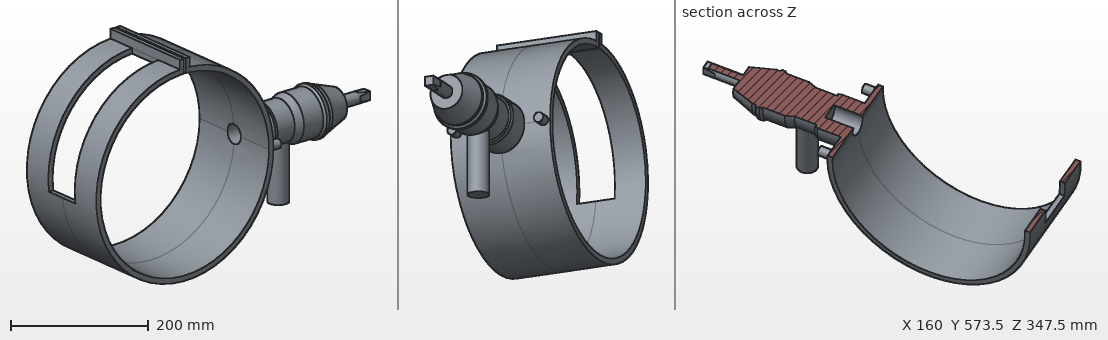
import cadquery as cq

band_radius = 166.5
band_thickness = 8.5
band_width = 160.0
band_inner_radius = band_radius - band_thickness

lug_top = 181.0
lug_span = 18.5
split_gap = 3.5

window_width = 61.0
window_bottom = -19.5

collar_radius = 39.0
collar_chamfer_radius = 37.0
neck_radius = 34.0
rib_radius = 42.5
nose_radius = 26.0
neck_start = 209.0
collar_end = 203.5
neck_end = 243.5
body_start = 257.0
rib_foot_start = 293.0
rib_crest_start = 297.0
rib_crest_end = 302.0
rib_foot_end = 305.5
nose_start = 311.0
nose_end = 348.5

shank_radius = 10.0
square_start = 387.0
square_root_side = 17.0
square_tip_side = 14.0
tip_end = 573.5 - band_radius

handle_diameter = 32.0
handle_position = 240.0
handle_bottom = -125.5
pin_diameter = 15.0
pin_spacing = 139.5
pin_end = 183.5
hole_diameter = 31.0
hole_end = collar_end


def rod_along_y(diameter, start, end, x=0):
    """Round rod parallel to Y between two Y positions."""
    plane = cq.Plane(origin=(x, start, 0), xDir=(1, 0, 0), normal=(0, 1, 0))
    return cq.Workplane(plane).circle(diameter / 2).extrude(end - start)


def box_between(x_size, y_start, y_end, z_start, z_end):
    """Box centred in X between given Y and Z positions."""
    return (
        cq.Workplane("XY")
        .box(x_size, y_end - y_start, z_end - z_start, centered=(True, False, False))
        .translate((0, y_start, z_start))
    )


def band_cylinder(radius):
    """Solid cylinder along X, as long as the band is wide."""
    return cq.Workplane("YZ").circle(radius).extrude(band_width / 2, both=True)


def make_drill():
    """Turned drill body, shank, square tip and side handle."""
    root = band_inner_radius
    body = (
        cq.Workplane("XY")
        .polyline([
            (0, root),
            (collar_radius, root),
            (collar_radius, collar_end),
            (collar_chamfer_radius, neck_start),
            (neck_radius, neck_start),
            (neck_radius, neck_end),
            (collar_radius, body_start),
            (collar_radius, rib_foot_start),
            (rib_radius, rib_crest_start),
            (rib_radius, rib_crest_end),
            (collar_radius, rib_foot_end),
            (collar_radius, nose_start),
            (nose_radius, nose_end),
            (0, nose_end),
        ])
        .close()
        .revolve(360, (0, 0, 0), (0, 1, 0))
    )
    square = (
        cq.Workplane(cq.Plane(origin=(0, square_start, 0), xDir=(1, 0, 0), normal=(0, 1, 0)))
        .rect(square_root_side, square_root_side)
        .workplane(offset=tip_end - square_start)
        .rect(square_tip_side, square_tip_side)
        .loft(ruled=True)
    )
    round_part = rod_along_y(2 * shank_radius, nose_end, square_start)
    tip = rod_along_y(2 * shank_radius, square_start, tip_end).intersect(square)
    handle = (
        cq.Workplane("XY")
        .center(0, handle_position)
        .circle(handle_diameter / 2)
        .extrude(handle_bottom)
    )
    return body.union(round_part).union(tip).union(handle)


bore = band_cylinder(band_inner_radius)
half_lugs = lug_span / 2
lugs = box_between(band_width, -half_lugs, half_lugs, 0, lug_top)
split = box_between(band_width, -split_gap / 2, split_gap / 2, 0, lug_top)
window = box_between(window_width, -band_radius, -half_lugs, window_bottom, band_radius)

result = band_cylinder(band_radius).union(lugs).union(make_drill())
for side in (-1, 1):
    pin = rod_along_y(pin_diameter, band_inner_radius, pin_end, side * pin_spacing / 2)
    result = result.union(pin)

hole = rod_along_y(hole_diameter, 0, hole_end)
result = result.cut(bore).cut(split).cut(window).cut(hole)